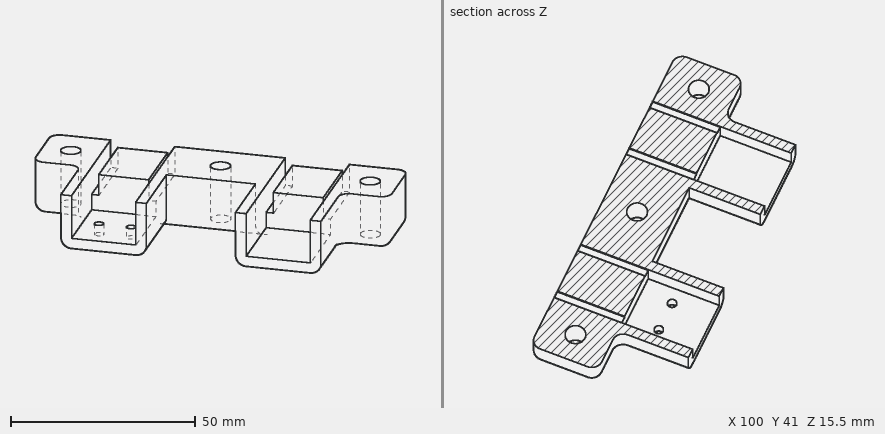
import cadquery as cq

length = 100.0
height = 15.5
bar_depth = 20.0
arm_reach = 21.0
edge_radius = 3.0

arm_spacing = 49.0
channel_width = 18.0
wall = 3.0
arm_width = channel_width + 2 * wall
arm_centers = (-arm_spacing / 2, arm_spacing / 2)

ledge_height = 7.5
block_height = 13.5
ledge_width = 2.0
block_width = channel_width - 2 * ledge_width

mount_diameter = 5.5
mount_spacing = 42.0
pin_diameter = 2.5
pin_spacing = 9.0
pin_offset = 9.0


def box(width, y_front, y_back, z_bottom, z_top, x_center=0):
    """Box centred on x_center, spanning the given Y and Z ranges."""
    return cq.Workplane("XY").box(
        width, y_back - y_front, z_top - z_bottom, centered=(True, False, False)
    ).translate((x_center, y_front, z_bottom))


def vertical_holes(points, diameter):
    """Cylinders through the full height, used as hole cutters."""
    return cq.Workplane("XY").pushPoints(points).circle(diameter / 2).extrude(height)


body = box(length, 0, bar_depth, 0, height)
for x in arm_centers:
    body = body.union(box(arm_width, -arm_reach, bar_depth, 0, height, x))

arm_outer_x = arm_spacing / 2 + arm_width / 2
outer_corners = cq.selectors.BoxSelector(
    (-length, -edge_radius, 0), (-arm_outer_x + edge_radius, 2 * bar_depth, height)
) + cq.selectors.BoxSelector(
    (arm_outer_x - edge_radius, -edge_radius, 0), (length, 2 * bar_depth, height)
)
body = body.edges("|Z").edges(outer_corners).fillet(edge_radius)

body = body.faces("<Z").edges("not(<Y)").fillet(edge_radius)

for x in arm_centers:
    body = body.cut(box(channel_width, -arm_reach, 0, wall, height, x))
    body = body.cut(box(channel_width, 0, bar_depth, block_height, height, x))
    for side in (-1, 1):
        ledge_x = x + side * (block_width + ledge_width) / 2
        body = body.cut(box(ledge_width, 0, bar_depth, ledge_height, height, ledge_x))

mount_points = [(i * mount_spacing, bar_depth / 2) for i in (-1, 0, 1)]
body = body.cut(vertical_holes(mount_points, mount_diameter))

pin_points = [(arm_centers[0] + side * pin_spacing / 2, -pin_offset) for side in (-1, 1)]
body = body.cut(vertical_holes(pin_points, pin_diameter))

result = body